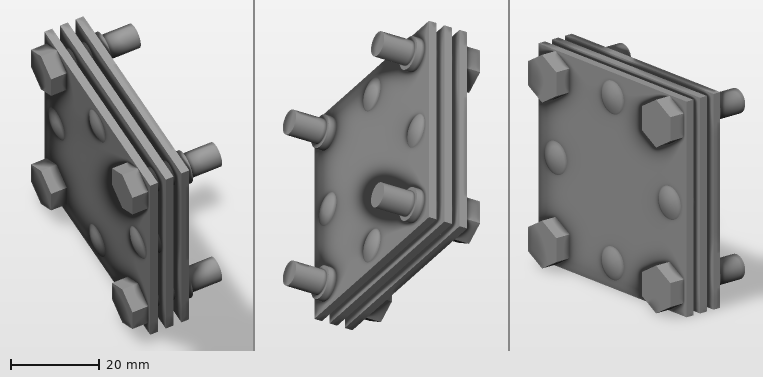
import cadquery as cq
import math

plate_side = 52.0
stack_depth = 24.0
layer = stack_depth / 12
plate_thickness = layer
plate_gap = layer
boss_height = layer
head_height = 2 * layer
feature_spacing = 40.0
bolt_diameter = 6.0
head_across_flats = 10.0
round_diameter = 8.0
outer_dome_height = 1.0
inner_dome_height = 1.5

plate_pitch = plate_thickness + plate_gap
middle_plate_y = plate_pitch
back_plate_y = 2 * plate_pitch
back_face_y = back_plate_y + plate_thickness
shank_length = stack_depth - head_height
head_across_corners = head_across_flats / math.cos(math.radians(30))
offset = feature_spacing / 2

corner_points = [(x, z) for x in (-offset, offset) for z in (-offset, offset)]
side_points = [(-offset, 0), (offset, 0)]
edge_points = side_points + [(0, -offset), (0, offset)]


def cylinder_along_y(diameter, length, x, start_y, z):
    """Cylinder that starts at start_y and runs toward +Y."""
    return cq.Workplane(cq.Solid.makeCylinder(
        diameter / 2, length, cq.Vector(x, start_y, z), cq.Vector(0, 1, 0)))


def make_plain_plate(front_y):
    """Square plate with its -Y face at front_y and a bolt hole near each corner."""
    plate = cq.Workplane("XY").box(plate_side, plate_thickness, plate_side, centered=(True, False, True))
    plate = plate.translate((0, front_y, 0))
    for x, z in corner_points:
        plate = plate.cut(cylinder_along_y(bolt_diameter, plate_thickness, x, front_y, z))
    return plate


def make_dome(height, direction, x, face_y, z):
    """Spherical cap standing on the plane Y = face_y; direction is +1 for +Y and -1 for -Y."""
    rim_radius = round_diameter / 2
    sphere_radius = (rim_radius**2 + height**2) / (2 * height)
    half_angle = math.asin(rim_radius / sphere_radius) / 2
    mid_radius = sphere_radius * math.sin(half_angle)
    mid_height = height - sphere_radius * (1 - math.cos(half_angle))
    profile = (
        cq.Workplane("XY")
        .lineTo(rim_radius, 0)
        .threePointArc((mid_radius, direction * mid_height), (0, direction * height))
        .close()
    )
    return profile.revolve(360, (0, 0, 0), (0, 1, 0)).translate((x, face_y, z))


def make_front_plate():
    """Plate under the bolt heads, with four domes on its outer face."""
    plate = make_plain_plate(0)
    for x, z in edge_points:
        plate = plate.union(make_dome(outer_dome_height, -1, x, 0, z))
    return plate


def make_middle_plate():
    """Plate with two taller domes facing the front plate."""
    plate = make_plain_plate(middle_plate_y)
    for x, z in side_points:
        plate = plate.union(make_dome(inner_dome_height, -1, x, middle_plate_y, z))
    return plate


def make_back_plate():
    """Plate with four domes and a round boss at each bolt hole on its outer face."""
    plate = make_plain_plate(back_plate_y)
    for x, z in edge_points:
        plate = plate.union(make_dome(outer_dome_height, 1, x, back_face_y, z))
    for x, z in corner_points:
        boss = cylinder_along_y(round_diameter, boss_height, x, back_face_y, z)
        plate = plate.union(boss.cut(cylinder_along_y(bolt_diameter, boss_height, x, back_face_y, z)))
    return plate


def make_bolt(x, z):
    """Hex bolt with its head against the front plate and two head corners up and down."""
    head = (
        cq.Workplane("XZ")
        .transformed(rotate=(0, 0, 90))
        .polygon(6, head_across_corners)
        .extrude(head_height)
        .translate((x, 0, z))
    )
    return head.union(cylinder_along_y(bolt_diameter, shank_length, x, 0, z))


front_plate = make_front_plate()
middle_plate = make_middle_plate()
back_plate = make_back_plate()
bolts = [make_bolt(x, z) for x, z in corner_points]

bodies = [front_plate, middle_plate, back_plate, *bolts]
result = cq.Compound.makeCompound([body.solids().val() for body in bodies])